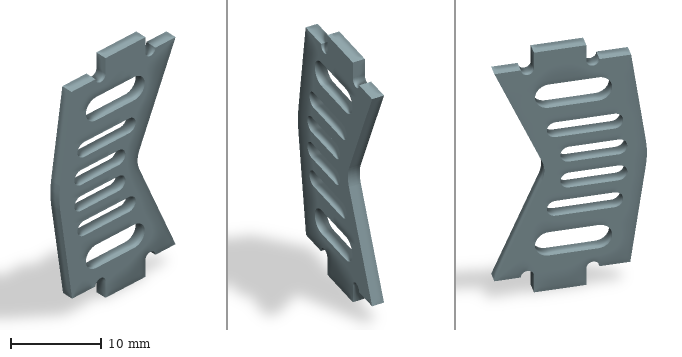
import cadquery as cq

thickness = 1.5

shoulder_z = 14.05
front_top_y = -8.1
front_bottom_y = -8.0
back_corner_y = 7.52
front_bend_y = -10.03
front_bend_z = 0.45
front_bend_radius = 11.72
back_bend_y = 1.53
back_bend_radius = 3.25

tab_width = 6.0
top_tab_height = 2.15
bottom_tab_height = 2.28
notch_radius = 0.75

narrow_slot_width = 2.02
slots = [
    (-1.53, 10.03, 8.82, 3.15),
    (-2.83, 5.35, 8.72, narrow_slot_width),
    (-3.85, 1.75, 7.65, narrow_slot_width),
]


def plate_plane():
    """Sketch plane on one face of the plate, which is centred on X = 0."""
    return cq.Workplane("YZ", origin=(-thickness / 2, 0, 0))


def plate_body():
    """Bent plate with both bends rounded."""
    plate = (
        plate_plane()
        .polyline([
            (front_top_y, shoulder_z),
            (front_bend_y, front_bend_z),
            (front_bottom_y, -shoulder_z),
            (back_corner_y, -shoulder_z),
            (back_bend_y, 0),
            (back_corner_y, shoulder_z),
        ])
        .close()
        .extrude(thickness)
    )
    front_bend = cq.NearestToPointSelector((0, front_bend_y, front_bend_z))
    back_bend = cq.NearestToPointSelector((0, back_bend_y, 0))
    plate = plate.edges("|X").edges(front_bend).fillet(front_bend_radius)
    return plate.edges("|X").edges(back_bend).fillet(back_bend_radius)


def tab(height, side):
    """Rectangular tab on the top (side = 1) or bottom (side = -1) shoulder."""
    return (
        plate_plane()
        .center(0, side * (shoulder_z + height / 2))
        .rect(tab_width, height)
        .extrude(thickness)
    )


def notches():
    """Round cutters centred on the shoulders and tangent to the tab sides."""
    notch_y = tab_width / 2 + notch_radius
    return (
        plate_plane()
        .rect(2 * notch_y, 2 * shoulder_z, forConstruction=True)
        .vertices()
        .circle(notch_radius)
        .extrude(thickness)
    )


def slot_pair(center_y, center_z, length, width):
    """A round-ended cutter above Z = 0 and its mirror image below."""
    return (
        plate_plane()
        .pushPoints([(center_y, center_z), (center_y, -center_z)])
        .slot2D(length, width)
        .extrude(thickness)
    )


result = plate_body()
result = result.union(tab(top_tab_height, 1))
result = result.union(tab(bottom_tab_height, -1))
result = result.cut(notches())
for slot in slots:
    result = result.cut(slot_pair(*slot))